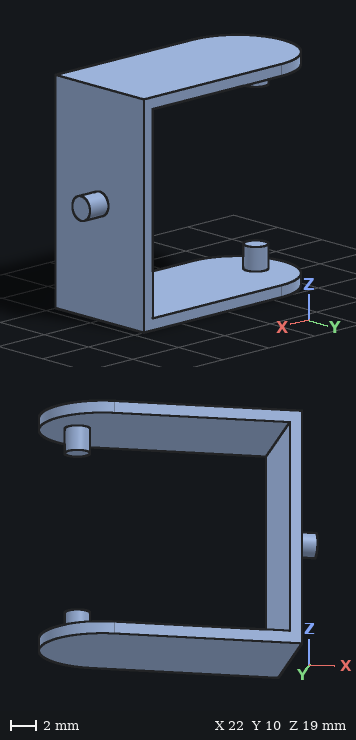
import cadquery as cq

overall_length = 22.0
width = 10.0
height = 19.0
wall = 1.0
pin_diameter = 2.0
pin_length = 2.0
arm_pin_inset = 3.0

bracket_length = overall_length - pin_length
end_radius = width / 2
pin_radius = pin_diameter / 2
inner_half_height = height / 2 - wall


def make_bracket():
    """U-shaped bracket, open towards -X, with full-round arm ends."""
    outline = (
        cq.Workplane("XY")
        .moveTo(end_radius, -end_radius)
        .lineTo(bracket_length, -end_radius)
        .lineTo(bracket_length, end_radius)
        .lineTo(end_radius, end_radius)
        .threePointArc((0, 0), (end_radius, -end_radius))
        .close()
    )
    block = outline.extrude(height / 2, both=True)
    opening = cq.Workplane("XY").box(
        bracket_length - wall, width, 2 * inner_half_height, centered=(False, True, True)
    )
    return block.cut(opening)


def make_pin(base, direction):
    """Round pin standing on a wall, rooted at the wall's outer or inner face."""
    return cq.Workplane(
        cq.Solid.makeCylinder(pin_radius, pin_length, cq.Vector(*base), cq.Vector(*direction))
    )


result = make_bracket()

for side in (-1, 1):
    result = result.union(make_pin((arm_pin_inset, 0, side * inner_half_height), (0, 0, -side)))

result = result.union(make_pin((bracket_length, 0, 0), (1, 0, 0)))